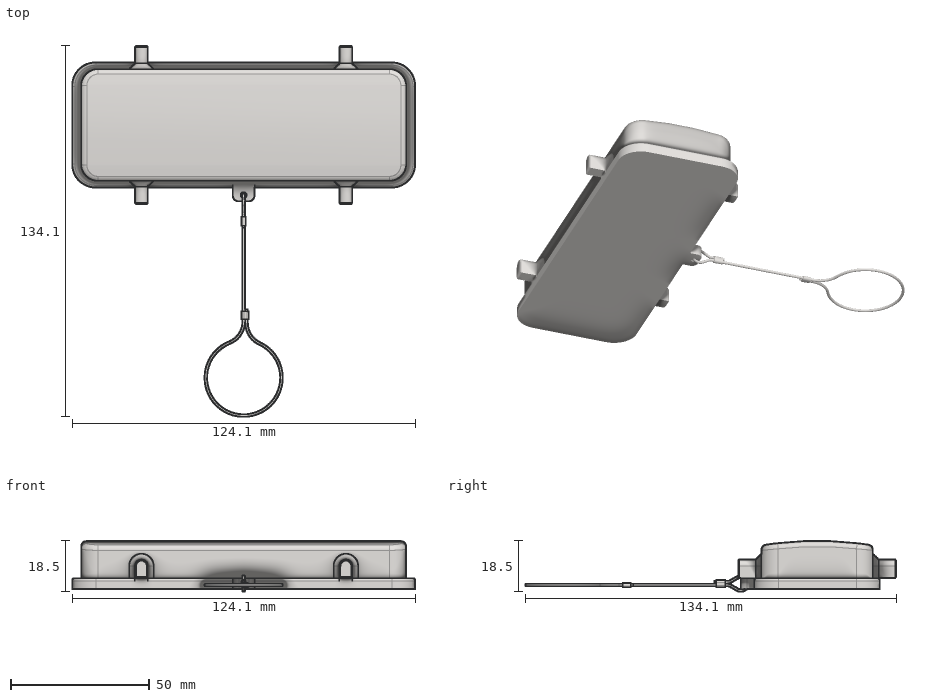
import cadquery as cq
import math

OVERALL_LENGTH = 134.1
OVERALL_HEIGHT = 18.5
WIRE_DIAMETER = 1.0

FLANGE_LENGTH = 124.1
FLANGE_WIDTH = 45.3
FLANGE_HEIGHT = 4.0
FLANGE_CORNER_RADIUS = 8.6
FLANGE_EDGE_RADIUS = 1.0

BODY_LENGTH = 117.5
BODY_WIDTH = 40.4
BODY_CORNER_RADIUS = 6.0
BODY_EDGE_RADIUS = 2.0
TOP_HEIGHT = OVERALL_HEIGHT - WIRE_DIAMETER
CROWN_RADIUS = 123.4

PIN_SPACING = 73.9
PIN_WIDTH = 4.7
PIN_TOP = 10.7
PIN_REACH = 28.6
PIN_TIP_CHAMFER = 0.4
PIN_COLLAR_RADIUS = 4.4
PIN_ROOT_OVERLAP = 2.7
PIN_RADIUS = PIN_WIDTH / 2
PIN_AXIS_HEIGHT = PIN_TOP - PIN_RADIUS

LUG_WIDTH = 7.9
LUG_REACH = 27.6
LUG_CORNER_RADIUS = 2.1
LUG_HOLE_DIAMETER = 2.0
LUG_HOLE_Y = -25.4

STRAND_PITCH = 1.1
CABLE_END_Y = PIN_REACH - OVERALL_LENGTH
EYE_RADIUS = FLANGE_HEIGHT / 2 + WIRE_DIAMETER / 2
EYE_START_Y = -25.1
EYE_SLOPE = 30.0
EYE_BEND_RADIUS = 2.0
RING_RADIUS = 13.7
NECK_RADIUS = 8.0

FERRULE_THICKNESS = 1.6
EYE_FERRULE_START = -33.1
EYE_FERRULE_LENGTH = 3.4
RING_FERRULE_START = -67.3
RING_FERRULE_LENGTH = 3.0
EYE_FREE_END_Y = -37.2
RING_FREE_END_Y = -66.5

EYE_MID_HEIGHT = FLANGE_HEIGHT / 2
CABLE_HEIGHT = EYE_MID_HEIGHT - STRAND_PITCH / 2


def rounded_block(length, width, height, corner_radius):
    block = cq.Workplane("XY").box(length, width, height, centered=(True, True, False))
    return block.edges("|Z").fillet(corner_radius)


def make_flange():
    flange = rounded_block(FLANGE_LENGTH, FLANGE_WIDTH, FLANGE_HEIGHT, FLANGE_CORNER_RADIUS)
    return flange.faces(">Z").edges().fillet(FLANGE_EDGE_RADIUS)


def make_body():
    block = rounded_block(BODY_LENGTH, BODY_WIDTH, TOP_HEIGHT, BODY_CORNER_RADIUS)
    crown = (
        cq.Workplane("YZ")
        .center(0, TOP_HEIGHT - CROWN_RADIUS)
        .circle(CROWN_RADIUS)
        .extrude(BODY_LENGTH, both=True)
    )
    body = block.intersect(crown)
    return body.faces(">Z").edges().fillet(BODY_EDGE_RADIUS)


def arch(plane_y, radius, foot_height):
    """Outline with a half-round top, facing -Y, drawn in a plane at the given Y."""
    return (
        cq.Workplane("XZ", origin=(0, plane_y, 0))
        .moveTo(-radius, foot_height)
        .lineTo(-radius, PIN_AXIS_HEIGHT)
        .threePointArc((0, PIN_AXIS_HEIGHT + radius), (radius, PIN_AXIS_HEIGHT))
        .lineTo(radius, foot_height)
        .close()
    )


def make_pin():
    """Pin at X = 0 on the -Y side, with its 45 degree collar and its foot on the flange."""
    body_side = -BODY_WIDTH / 2
    root = body_side + PIN_ROOT_OVERLAP
    pin = arch(root, PIN_RADIUS, FLANGE_HEIGHT).extrude(PIN_REACH + root)
    pin = pin.faces("<Y").chamfer(PIN_TIP_CHAMFER)

    foot_height = FLANGE_HEIGHT - FLANGE_EDGE_RADIUS
    foot = arch(root, PIN_RADIUS, foot_height).extrude(FLANGE_WIDTH / 2 + root)

    collar_length = PIN_COLLAR_RADIUS - PIN_RADIUS
    collar_base = arch(body_side, PIN_COLLAR_RADIUS, FLANGE_HEIGHT).val()
    collar_tip = arch(body_side - collar_length, PIN_RADIUS, FLANGE_HEIGHT).val()
    collar = cq.Workplane(cq.Solid.makeLoft([collar_base, collar_tip], True))
    return pin.union(foot).union(collar)


def make_lug():
    lug_length = LUG_REACH - BODY_WIDTH / 2
    lug = (
        cq.Workplane("XY")
        .center(0, -LUG_REACH + lug_length / 2)
        .rect(LUG_WIDTH, lug_length)
        .extrude(FLANGE_HEIGHT)
        .edges("|Z and <Y")
        .fillet(LUG_CORNER_RADIUS)
    )
    hole = (
        cq.Workplane("XY")
        .center(0, LUG_HOLE_Y)
        .circle(LUG_HOLE_DIAMETER / 2)
        .extrude(FLANGE_HEIGHT)
    )
    return lug.cut(hole)


def sweep_wire(path, start_y, start_z):
    """Round wire along a path that starts parallel to Y at X = 0."""
    return cq.Workplane("XZ", origin=(0, start_y, start_z)).circle(WIRE_DIAMETER / 2).sweep(path)


def make_eye():
    """Wire loop through the lug, in the YZ plane, from its free end round to the cable."""
    slope = math.radians(EYE_SLOPE)
    centre_y = EYE_START_Y - EYE_RADIUS
    leave_y = centre_y - EYE_RADIUS * math.sin(slope)
    leave_offset = EYE_RADIUS * math.cos(slope)
    strand_offset = STRAND_PITCH / 2
    corner_y = leave_y - (leave_offset - strand_offset) / math.tan(slope)
    bend_length = EYE_BEND_RADIUS * math.tan(slope / 2)
    bend_start_y = corner_y + bend_length * math.cos(slope)
    bend_start_offset = strand_offset + bend_length * math.sin(slope)
    bend_end_y = corner_y - bend_length
    bend_mid_y = bend_end_y + EYE_BEND_RADIUS * math.sin(slope / 2)
    bend_mid_offset = strand_offset + EYE_BEND_RADIUS * (1 - math.cos(slope / 2))

    middle = EYE_MID_HEIGHT
    path = (
        cq.Workplane("YZ")
        .moveTo(EYE_FREE_END_Y, middle + strand_offset)
        .lineTo(bend_end_y, middle + strand_offset)
        .threePointArc((bend_mid_y, middle + bend_mid_offset), (bend_start_y, middle + bend_start_offset))
        .lineTo(leave_y, middle + leave_offset)
        .threePointArc((EYE_START_Y, middle), (leave_y, middle - leave_offset))
        .lineTo(bend_start_y, middle - bend_start_offset)
        .threePointArc((bend_mid_y, middle - bend_mid_offset), (bend_end_y, middle - strand_offset))
        .lineTo(EYE_FERRULE_START - EYE_FERRULE_LENGTH, middle - strand_offset)
    )
    return sweep_wire(path, EYE_FREE_END_Y, middle + strand_offset)


def neck_points(strand_x, side, ring_y):
    """Start, middle and end of the arc leading from a strand to the ring on one side."""
    centre_x = strand_x + side * NECK_RADIUS
    reach = RING_RADIUS + NECK_RADIUS
    rise = math.sqrt(reach**2 - centre_x**2)
    centre_y = ring_y + rise
    turn = math.atan2(rise, abs(centre_x))

    def point(angle):
        return (centre_x - side * NECK_RADIUS * math.cos(angle), centre_y - NECK_RADIUS * math.sin(angle))

    return point(0), point(turn / 2), point(turn)


def make_cable():
    """Straight cable from the eye ferrule, round the end ring and back to its free end."""
    ring_y = CABLE_END_Y + WIRE_DIAMETER / 2 + RING_RADIUS
    left_start, left_mid, left_end = neck_points(0, -1, ring_y)
    right_start, right_mid, right_end = neck_points(STRAND_PITCH, 1, ring_y)
    path = (
        cq.Workplane("XY", origin=(0, 0, CABLE_HEIGHT))
        .moveTo(0, EYE_FERRULE_START)
        .lineTo(*left_start)
        .threePointArc(left_mid, left_end)
        .threePointArc((0, ring_y - RING_RADIUS), right_end)
        .threePointArc(right_mid, right_start)
        .lineTo(STRAND_PITCH, RING_FREE_END_Y)
    )
    return sweep_wire(path, EYE_FERRULE_START, CABLE_HEIGHT)


def make_ferrule(centre_x, start_y, centre_z, length, tilt):
    """Sleeve of stadium section running towards -Y; tilt turns its long side from X."""
    return (
        cq.Workplane("XZ", origin=(centre_x, start_y, centre_z))
        .slot2D(STRAND_PITCH + FERRULE_THICKNESS, FERRULE_THICKNESS, tilt)
        .extrude(length)
    )


result = make_flange().union(make_body())
pin = make_pin()
for pin_x in (-PIN_SPACING / 2, PIN_SPACING / 2):
    front_pin = pin.translate((pin_x, 0, 0))
    result = result.union(front_pin).union(front_pin.mirror("XZ"))
result = result.union(make_lug())

eye_ferrule = make_ferrule(0, EYE_FERRULE_START, EYE_MID_HEIGHT, EYE_FERRULE_LENGTH, 90)
ring_ferrule = make_ferrule(STRAND_PITCH / 2, RING_FERRULE_START, CABLE_HEIGHT, RING_FERRULE_LENGTH, 0)
cable = make_cable().union(ring_ferrule).union(eye_ferrule).union(make_eye())
result = result.union(cable)